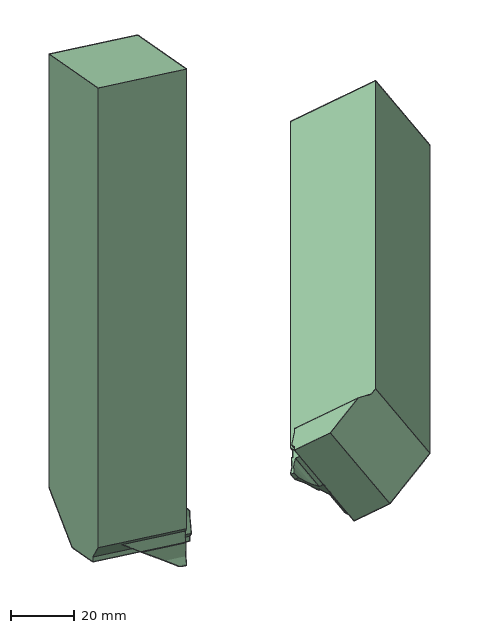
import cadquery as cq

total_height = 170.1
shank_right = 31.8
shank_depth = 32.0
flange_thickness = 3.0
back_y = shank_depth + flange_thickness

holder_bottom = 6.8
heel_chamfer = 15.0
nose_top = 13.0
seat_x = 28.4
seat_corner_z = 8.5

flange_top = 20.2
flange_end_x = 29.5
flange_end_top = 15.3

insert_head_right = 31.0
blade_right = 31.5
blade_shoulder_z = 8.0
neck_left = 30.0
neck_bend_x = 30.1
neck_bend_z = 5.8
blade_left = 30.5
neck_bottom = 5.0
waist_left = 30.6
waist_right = 31.3
waist_z = 3.2
tip_left = 30.5
tip_corner_z = 0.3
tip_land_top = 0.9
clearance_start = 2.7
clearance_start_z = 0.5
clearance_slope = 0.56


def seat_height(x):
    """Height of the sloped insert seat at a given X."""
    return seat_corner_z + (nose_top - seat_corner_z) * (x - seat_x) / (shank_right - seat_x)


def make_holder():
    block = (
        cq.Workplane("XZ", origin=(0, back_y, 0))
        .polyline([
            (0, total_height),
            (shank_right, total_height),
            (shank_right, nose_top),
            (seat_x, seat_corner_z),
            (seat_x, holder_bottom),
            (heel_chamfer, holder_bottom),
            (0, holder_bottom + heel_chamfer),
        ]).close()
        .extrude(back_y)
    )
    above_flange = (
        cq.Workplane("YZ")
        .polyline([
            (shank_depth, total_height),
            (shank_depth, flange_top),
            (back_y, flange_top - flange_thickness),
            (back_y, total_height),
        ]).close()
        .extrude(shank_right)
    )
    beside_flange = (
        cq.Workplane("XZ", origin=(0, back_y, 0))
        .polyline([
            (seat_x, flange_top),
            (seat_x, flange_end_top),
            (flange_end_x, seat_height(flange_end_x)),
            (shank_right, seat_height(flange_end_x)),
            (shank_right, flange_top),
        ]).close()
        .extrude(flange_thickness)
    )
    return block.cut(above_flange).cut(beside_flange)


def make_insert():
    blank = (
        cq.Workplane("XZ", origin=(0, shank_depth, 0))
        .moveTo(insert_head_right, seat_height(insert_head_right))
        .lineTo(seat_x, seat_corner_z)
        .lineTo(seat_x, holder_bottom)
        .lineTo(neck_left, holder_bottom)
        .lineTo(neck_bend_x, neck_bend_z)
        .lineTo(blade_left, neck_bottom)
        .lineTo(waist_left, waist_z)
        .lineTo(tip_left, 0)
        .lineTo(shank_right, tip_corner_z)
        .lineTo(shank_right, tip_land_top)
        .lineTo(waist_right, waist_z)
        .lineTo(blade_right, blade_shoulder_z)
        .lineTo(insert_head_right, blade_shoulder_z)
        .close()
        .extrude(shank_depth)
    )
    clearance_y = shank_depth - clearance_start
    underside = (
        cq.Workplane("YZ")
        .polyline([
            (shank_depth, 0),
            (clearance_y, clearance_start_z),
            (0, clearance_start_z + clearance_slope * clearance_y),
            (0, 0),
        ]).close()
        .extrude(shank_right)
    )
    return blank.cut(underside)


holder = make_holder()
insert = make_insert()
result = cq.Compound.makeCompound([holder.val(), insert.val()])